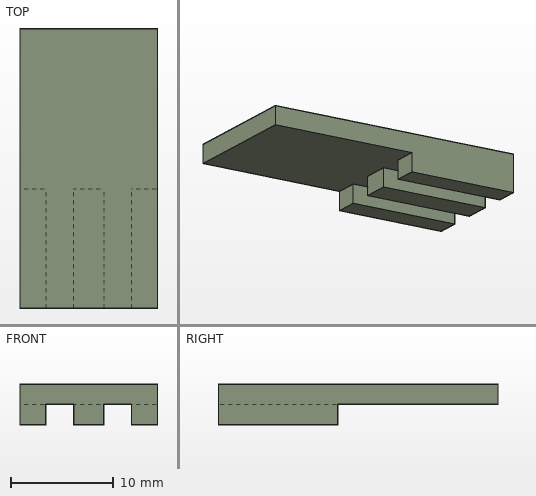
import cadquery as cq

width = 13.5
length = 27.4
height = 4.0
plate_thickness = height / 2
rib_length = 11.7
left_rib_width = 2.55
center_rib_width = 3.0
right_rib_width = 2.58

rib_height = height - plate_thickness


def make_plate():
    """Flat plate with its front edge at Y = 0 and its top at Z = height."""
    return (
        cq.Workplane("XY")
        .box(width, length, plate_thickness, centered=(True, False, False))
        .translate((0, 0, rib_height))
    )


def make_rib(center_x, rib_width):
    """Rib under the plate, running back from the front edge."""
    return (
        cq.Workplane("XY")
        .box(rib_width, rib_length, rib_height, centered=(True, False, False))
        .translate((center_x, 0, 0))
    )


ribs = (
    ((left_rib_width - width) / 2, left_rib_width),
    (0, center_rib_width),
    ((width - right_rib_width) / 2, right_rib_width),
)

result = make_plate()
for center_x, rib_width in ribs:
    result = result.union(make_rib(center_x, rib_width))